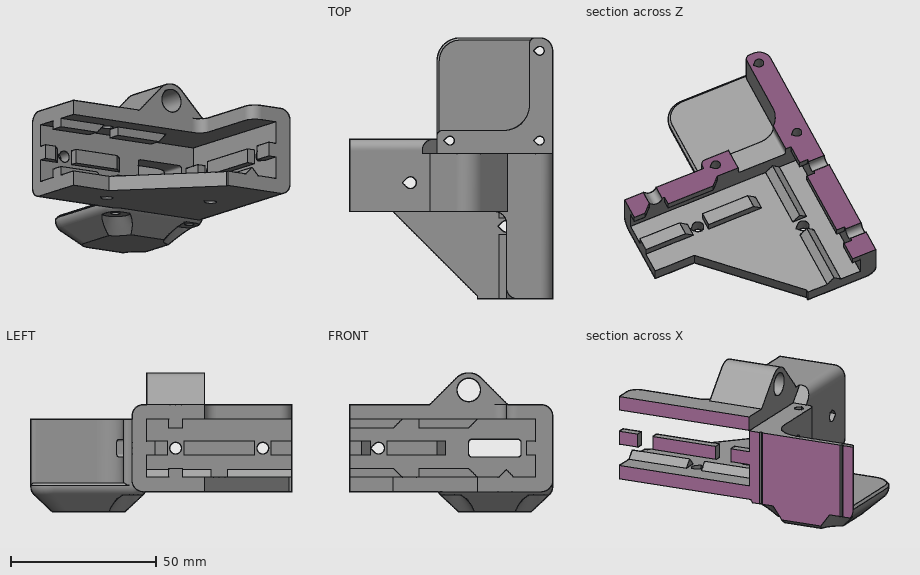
import cadquery as cq
import math

width = 70.0
length = 90.0
height = 48.0
profile = 20.0
wall = 5.0
side_wall = 6.0
channel_floor = 12.0
edge_round = 4.0
screw_diameter = 4.0

channel_ceiling = channel_floor + profile
channel_middle = channel_floor + profile / 2
block_bottom = channel_floor - wall
block_top = channel_ceiling + wall

mount_side = 40.0
mount_left = width - mount_side
mount_front = length - mount_side
mount_center = (width - mount_side / 2, length - mount_side / 2)
mount_wall = 8.0
mount_top = channel_ceiling
pocket_floor = 10.0
pocket_corner = 9.0
pocket_rim = 0.8
open_corner = 8.0
post_corner = 4.5
wall_end_round = 2.0
bowl_top = 8.7
bowl_line = 5.85
bowl_base_side = 25.0
bowl_base_corner = 5.0
mount_hole_pitch = 31.0
mount_hole_diameter = 3.0
head_radius = 4.9
head_mouth_radius = 9.0

back = mount_front + wall
arm_x_front = mount_front - profile
arm_x_middle = mount_front - profile / 2
channel_right = width - side_wall
arm_y_left = channel_right - profile
arm_y_middle = channel_right - profile / 2
web_lip = 1.0
web_left = arm_y_left - (arm_x_front - web_lip)

floor_screw_x = 21.0
floor_screw_y = 25.0
back_screw_x = 10.0
side_screw_y = 10.0
rib_width = 4.9
rib_height = 3.0
ridge_height = 2.6
screw_gap = 2.9
back_rib_end = 33.0

lug_x = 41.0
lug_radius = 5.9
lug_z = height - lug_radius
rod_diameter = 8.0

slot_length = 18.0
slot_height = 6.0
slot_round = 1.0
slot_x = 50.0


def box(x0, x1, y0, y1, z0, z1):
    """Box between two opposite corners."""
    return cq.Workplane("XY").box(x1 - x0, y1 - y0, z1 - z0, centered=False).translate((x0, y0, z0))


def along_x(x):
    """Plane across the X axis, local axes Y and Z."""
    return cq.Workplane("YZ", origin=(x, 0, 0))


def along_y(y):
    """Plane facing +Y whose local axes are -X and Z."""
    return cq.Workplane(cq.Plane((0, y, 0), xDir=(-1, 0, 0), normal=(0, 1, 0)))


def teardrop(plane, x, y, diameter, depth, point):
    """Round hole with a 45 degree point; point is -1 or 1 along the local x axis."""
    radius = diameter / 2
    leg = radius * math.sqrt(0.5)
    tip = radius * math.sqrt(2)
    return (
        plane.moveTo(x + point * leg, y + leg)
        .lineTo(x + point * tip, y)
        .lineTo(x + point * leg, y - leg)
        .threePointArc((x - point * radius, y), (x + point * leg, y + leg))
        .close()
        .extrude(depth)
    )


def mount_block(side, open_radius, screw_radius, z0, z1):
    """Square block centred on the mount, with its own radius at the open corner."""
    x, y = mount_center
    block = box(x - side / 2, x + side / 2, y - side / 2, y + side / 2, z0, z1)
    block = block.edges("|Z and <X and >Y").fillet(open_radius)
    for corner in ("<X and <Y", ">X and <Y", ">X and >Y"):
        block = block.edges(f"|Z and {corner}").fillet(screw_radius)
    return block


def channel_block():
    """Two channels at right angles, joined below by a slanted web."""
    block = (
        cq.Workplane("XY", origin=(0, 0, block_bottom))
        .polyline([
            (0, arm_x_front), (web_left, arm_x_front), (arm_y_left, web_lip), (arm_y_left, 0),
            (width, 0), (width, back), (0, back),
        ])
        .close()
        .extrude(block_top - block_bottom)
    )
    block = block.faces(">X").edges("|Y").fillet(edge_round)
    block = block.faces(">Y").edges("|X").fillet(edge_round)

    above_channel = block_top - channel_ceiling
    window = box(0, arm_y_middle, 0, arm_x_front, channel_ceiling, block_top)
    window = window.edges("|Z and >X and >Y").fillet(edge_round)
    corner = (
        cq.Workplane("XY", origin=(arm_y_middle, 0, channel_ceiling))
        .lineTo(edge_round, 0)
        .radiusArc((0, edge_round), edge_round)
        .close()
        .extrude(above_channel)
    )
    channels = box(0, channel_right, 0, mount_front, channel_floor, channel_ceiling)
    return block.cut(window).cut(corner).cut(channels)


def bar_rib(start, end):
    """Rib along X on the floor plane, its far end sloping at 45 degrees."""
    return (
        cq.Workplane("XZ", origin=(0, rib_width / 2, 0))
        .polyline([(start, 0), (start, rib_height), (end - rib_height, rib_height), (end, 0)])
        .close()
        .extrude(rib_width)
    )


def ridge(start, end):
    """V-shaped rib along Y on the channel floor."""
    return (
        cq.Workplane("XZ", origin=(arm_y_middle, start, channel_floor))
        .polyline([(-ridge_height, 0), (0, ridge_height), (ridge_height, 0)])
        .close()
        .extrude(start - end)
    )


def ribs():
    """All ribs, interrupted around the screws."""
    parts = []
    for start, end in [(0, floor_screw_x - screw_gap), (floor_screw_x + screw_gap, arm_y_left)]:
        rib = bar_rib(start, end)
        parts.append(rib.translate((0, arm_x_middle, channel_floor)))
        parts.append(rib.rotate((0, 0, 0), (1, 0, 0), 180).translate((0, arm_x_middle, channel_ceiling)))
    for start, end in [(0, back_screw_x - screw_gap), (back_screw_x + screw_gap, back_rib_end)]:
        rib = bar_rib(start, end).rotate((0, 0, 0), (1, 0, 0), 90)
        parts.append(rib.translate((0, mount_front, channel_middle)))
    for start, end in [(0, floor_screw_y - screw_gap), (floor_screw_y + screw_gap, mount_front)]:
        parts.append(ridge(start, end))
    side_spans = [
        (0, side_screw_y - screw_gap),
        (side_screw_y + screw_gap, arm_x_middle - screw_gap),
        (arm_x_middle + screw_gap, mount_front),
    ]
    low = channel_middle - rib_width / 2
    for start, end in side_spans:
        parts.append(box(channel_right - rib_height, channel_right, start, end, low, low + rib_width))
    return parts


def lug():
    """Rod lug with 45 degree flanks tangent to its round top."""
    leg = lug_radius * math.sqrt(0.5)
    half_base = lug_radius * math.sqrt(2) + lug_z - block_top
    return (
        cq.Workplane("XZ", origin=(lug_x, mount_front, 0))
        .moveTo(-half_base, block_top)
        .lineTo(-leg, lug_z + leg)
        .threePointArc((0, height), (leg, lug_z + leg))
        .lineTo(half_base, block_top)
        .close()
        .extrude(profile)
    )


def mount_recess():
    """Removes the block above the mount, with a 45 degree ramp at the left."""
    return (
        along_y(mount_front)
        .polyline([
            (-mount_left, mount_top), (-mount_left + block_top - mount_top, block_top),
            (-width, block_top), (-width, mount_top),
        ])
        .close()
        .extrude(wall)
    )


def mount():
    """L-shaped wall around an open pocket, on a floor with a solid tapered bowl below."""
    floor = box(mount_left, width, mount_front, length, bowl_top, pocket_floor)
    floor = floor.edges("|Z and <X and >Y").fillet(open_corner)
    floor = floor.edges("|Z and >X and >Y").fillet(post_corner)
    floor = floor.faces(">Z").edges("not(<Y or >X)").chamfer(pocket_rim)

    walls = box(mount_left, width, mount_front, length, bowl_top, mount_top)
    pocket = box(
        mount_left, width - mount_wall, mount_front + mount_wall, length, bowl_top, mount_top
    )
    pocket = pocket.edges("|Z and >X and <Y").fillet(pocket_corner)
    walls = walls.cut(pocket)
    walls = walls.edges("|Z and >X and >Y").fillet(post_corner)
    wall_middle = (bowl_top + mount_top) / 2
    for x, y in [(mount_left, mount_front + mount_wall), (width - mount_wall, length)]:
        free_end = cq.selectors.NearestToPointSelector((x, y, wall_middle))
        walls = walls.edges(free_end).fillet(wall_end_round)

    band_bottom = bowl_top - edge_round
    band_top = pocket_floor - pocket_rim
    band = mount_block(mount_side, open_corner, post_corner, band_bottom, band_top)
    band = band.faces("<Z").edges().fillet(edge_round)
    band = band.cut(box(0, width, 0, length, 0, bowl_line))
    inset = edge_round - math.sqrt(edge_round ** 2 - (bowl_top - bowl_line) ** 2)
    rim_side = mount_side - 2 * inset
    rim = mount_block(rim_side, open_corner - inset, post_corner - inset, bowl_line, bowl_top)
    base = mount_block(bowl_base_side, bowl_base_corner, bowl_base_corner, 0, bowl_line)
    outlines = [solid.faces("<Z").wires().val() for solid in (base, rim)]
    taper = cq.Workplane(cq.Solid.makeLoft(outlines, True))
    return floor.union(walls).union(band).union(taper)


def screw_holes():
    """Screw holes of both channels and of the mount, with head clearances below the mount."""
    plan = cq.Workplane("XY")
    floor_plan = plan.workplane(offset=block_bottom)
    cuts = [
        teardrop(plan, floor_screw_x, arm_x_middle, screw_diameter, block_top, -1),
        teardrop(floor_plan, arm_y_middle, floor_screw_y, screw_diameter, wall, -1),
        teardrop(along_y(mount_front), -back_screw_x, channel_middle, screw_diameter, wall, 1),
    ]
    for y in (side_screw_y, arm_x_middle):
        cuts.append(
            along_x(channel_right).center(y, channel_middle).circle(screw_diameter / 2).extrude(side_wall)
        )
    for side_x, side_y in [(-1, -1), (1, -1), (1, 1)]:
        x = mount_center[0] + side_x * mount_hole_pitch / 2
        y = mount_center[1] + side_y * mount_hole_pitch / 2
        cuts.append(teardrop(plan, x, y, mount_hole_diameter, mount_top, -1))
        head = cq.Solid.makeCone(head_mouth_radius, head_radius, bowl_line, cq.Vector(x, y, 0))
        cuts.append(cq.Workplane(head))
    return cuts


def wall_slot():
    """Slot from the channel into the pocket."""
    depth = mount_wall + pocket_corner
    slot = box(-slot_length / 2, slot_length / 2, 0, depth, -slot_height / 2, slot_height / 2)
    return slot.edges("|Y").fillet(slot_round).translate((slot_x, mount_front, channel_middle))


result = channel_block().cut(mount_recess())
for piece in [*ribs(), lug(), mount()]:
    result = result.union(piece)
rod_hole = along_y(arm_x_front).center(-lug_x, lug_z).circle(rod_diameter / 2).extrude(profile)
for opening in [rod_hole, wall_slot(), *screw_holes()]:
    result = result.cut(opening)